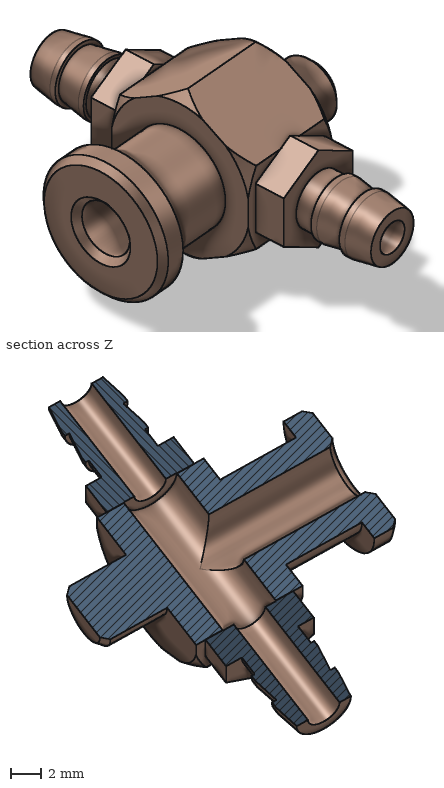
import cadquery as cq
import math


housing_flats = 12.0
housing_depth = 8.5
corner_circle_radius = 6.12
spigot_diameter = 5.0
spigot_length = 5.0
neck_diameter = 8.0
neck_length = 6.0
flange_diameter = 11.0
flange_thickness = 2.0
edge_chamfer = 0.5
port_diameter = 4.2
port_countersink = 0.5

overall_length = 30.0
nut_flats = 7.0
nut_thickness = 2.5
stem_diameter = 4.5
barb_diameter = 5.0
barb_tip_diameter = 4.32
barb_pitch = 2.5
barb_land = 0.48
fitting_bore = 2.5
barb_count = 2

front_face = -housing_depth / 2
back_face = housing_depth / 2
flange_back = front_face - neck_length
flange_front = flange_back - flange_thickness
nut_start = housing_flats / 2
nut_end = nut_start + nut_thickness
tip = overall_length / 2


def corner_diameter(across_flats):
    """Diameter of the circle through the corners of a hexagon."""
    return across_flats / math.cos(math.radians(30))


def y_cylinder(diameter, start, end):
    """Cylinder about the Y axis from y = start to y = end."""
    plane = cq.Plane(origin=(0, start, 0), xDir=(1, 0, 0), normal=(0, 1, 0))
    return cq.Workplane(plane).circle(diameter / 2).extrude(end - start)


def x_cylinder(diameter, start, end):
    """Cylinder about the X axis from x = start to x = end."""
    return cq.Workplane("YZ", origin=(start, 0, 0)).circle(diameter / 2).extrude(end - start)


def make_hex_block():
    """Hexagon with corners at top and bottom, cut at both faces by 45 degree cones."""
    corners = corner_diameter(housing_flats)
    block = (
        cq.Workplane("XZ", origin=(0, back_face, 0))
        .transformed(rotate=(0, 0, 90))
        .polygon(6, corners)
        .extrude(housing_depth)
    )
    corner_cut = corners / 2 - corner_circle_radius
    envelope = y_cylinder(corners, front_face, back_face).faces("<Y or >Y").chamfer(corner_cut)
    return block.intersect(envelope)


def make_housing():
    spigot = y_cylinder(spigot_diameter, back_face, back_face + spigot_length)
    spigot = spigot.faces(">Y").chamfer(edge_chamfer)
    neck = y_cylinder(neck_diameter, flange_back, front_face)
    flange = y_cylinder(flange_diameter, flange_front, flange_back)
    flange = flange.faces("<Y").chamfer(edge_chamfer)
    body = make_hex_block().union(spigot).union(neck).union(flange)

    port = y_cylinder(port_diameter, flange_front, 0)
    rim_radius = port_diameter / 2 + port_countersink
    countersink = cq.Workplane(
        cq.Solid.makeCone(
            rim_radius,
            port_diameter / 2,
            port_countersink,
            pnt=cq.Vector(0, flange_front, 0),
            dir=cq.Vector(0, 1, 0),
        )
    )
    passage = x_cylinder(port_diameter, -nut_start, nut_start)
    return body.cut(port).cut(countersink).cut(passage)


def make_barb(end):
    """Cone widening away from its tip at x = end, followed by a straight land."""
    land_start = end - barb_pitch
    profile = [
        (land_start, 0),
        (land_start, barb_diameter / 2),
        (land_start + barb_land, barb_diameter / 2),
        (end, barb_tip_diameter / 2),
        (end, 0),
    ]
    return cq.Workplane("XY").polyline(profile).close().revolve(360, (0, 0), (1, 0))


def make_fitting(turn):
    """Barbed hose fitting on the +X side, turned about Z by the given angle."""
    nut = (
        cq.Workplane("YZ", origin=(nut_start, 0, 0))
        .transformed(rotate=(0, 0, 90))
        .polygon(6, corner_diameter(nut_flats))
        .extrude(nut_thickness)
    )
    barbs_start = tip - barb_count * barb_pitch
    fitting = nut.union(x_cylinder(stem_diameter, nut_end, barbs_start))
    for index in range(barb_count):
        fitting = fitting.union(make_barb(tip - index * barb_pitch))
    fitting = fitting.cut(x_cylinder(fitting_bore, nut_start, tip))
    return fitting.rotate((0, 0, 0), (0, 0, 1), turn)


housing = make_housing()
fittings = [make_fitting(turn) for turn in (0, 180)]

result = cq.Compound.makeCompound([housing.val(), *[fitting.val() for fitting in fittings]])